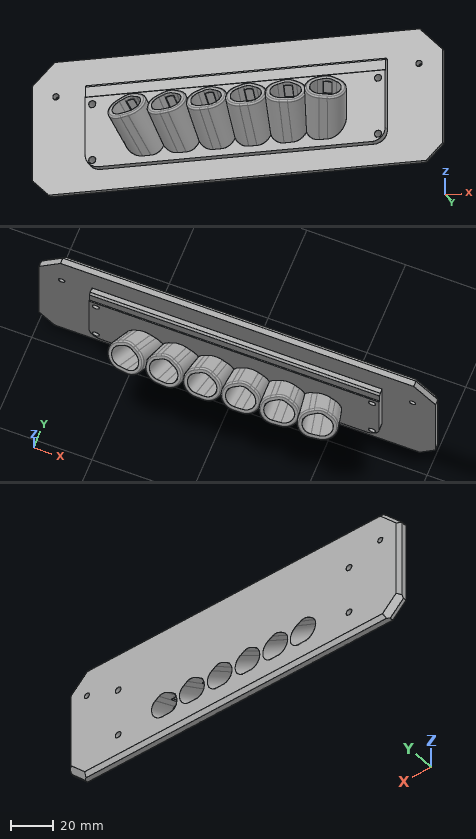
import cadquery as cq
import math

plate_length = 200.8
plate_height = 66.0
plate_thickness = 5.0
top_corner_cut = 11.0
bottom_corner_cut = 8.0
back_bevel = 2.0
bottom_corner_bevel = 3.0
plate_hole_diameter = 3.0
plate_hole_x = 88.7
plate_hole_z = -17.3

pad_length = 146.8
pad_height = 41.5
pad_top = -14.0
pad_thickness = 4.0
pad_corner_radius = 6.6
strip_height = 6.2
strip_setback = 0.6
strip_chamfer = 1.0
pad_hole_diameter = 3.5
pad_hole_x = 69.9
pad_hole_top = -24.0
pad_hole_bottom = -52.0

tube_count = 6
rim_pitch = 19.5
rim_reach = 16.3
rim_z = -32.1
tube_elevation = 33.5
fan_step = 5.0

base_half_width = 2.0
side_radius = 7.8
roof_slope = 28.0
crown_radius = 7.0
wall = 2.5
rim_round = 0.8

keyway_width = 4.2
keyway_rise = 0.5
keyway_start = 2.0
keyway_end = 9.0

half_length = plate_length / 2
tube_length = 40.2


def make_plate():
    plate = cq.Workplane("XZ").rect(plate_length, plate_height).extrude(-plate_thickness)
    plate = plate.translate((0, 0, -plate_height / 2))
    plate = plate.edges("|Y and >Z").chamfer(top_corner_cut)
    plate = plate.edges("|Y and <Z").chamfer(bottom_corner_cut)
    plate = plate.faces(">Y").edges().chamfer(back_bevel)
    return plate.cut(bottom_corner_wedge(1)).cut(bottom_corner_wedge(-1))


def bottom_corner_wedge(side):
    """Waste that bevels the back of one bottom corner; side is +1 or -1 along X."""
    corner_plane = cq.Plane(
        origin=(side * (half_length - bottom_corner_cut / 2), 0, -plate_height + bottom_corner_cut / 2),
        xDir=(side, 0, -1),
        normal=(1, 0, side),
    )
    back = plate_thickness * corner_plane.yDir.y
    rise = bottom_corner_bevel * corner_plane.yDir.y
    return (
        cq.Workplane(corner_plane)
        .polyline([(0, back - rise), (0, back), (-bottom_corner_bevel, back)]).close()
        .extrude(2 * bottom_corner_cut, both=True)
    )


def make_pad():
    pad = cq.Workplane("XZ").rect(pad_length, pad_height).extrude(pad_thickness)
    pad = pad.translate((0, 0, pad_top - pad_height / 2))
    pad = pad.edges("|Y and <Z").fillet(pad_corner_radius)
    setback = (
        cq.Workplane("XY")
        .box(pad_length, strip_setback, strip_height, centered=(True, False, False))
        .translate((0, -pad_thickness, pad_top - strip_height))
    )
    return pad.cut(setback).faces(">Z").edges("<Y").chamfer(strip_chamfer)


def tube_plane(index):
    """Plane on the rim of one tube: normal out along the tube, first axis level, second axis up."""
    place = index - (tube_count - 1) / 2
    fan = math.radians(place * fan_step)
    rim_centre = (place * rim_pitch, -pad_thickness - rim_reach, rim_z)
    elevation = math.radians(tube_elevation)
    outward = cq.Vector(0, -math.cos(elevation), math.sin(elevation))
    level = cq.Vector(1, 0, 0)
    axis = outward * math.cos(fan) + level * math.sin(fan)
    across = level * math.cos(fan) - outward * math.sin(fan)
    return cq.Plane(origin=rim_centre, xDir=across, normal=axis)


def crown_centre_height():
    """Height of the crown arc's centre above the side arcs' centres, set by the tangent roof flats."""
    slope = math.radians(roof_slope)
    return (base_half_width * math.sin(slope) + side_radius - crown_radius) / math.cos(slope)


def tube_section(plane, inset):
    """Tube outline moved inwards by inset; the side arcs are centred level with the plane's origin."""
    slope = math.radians(roof_slope)
    side = side_radius - inset
    crown = crown_radius - inset
    crown_centre = crown_centre_height()
    widest = base_half_width + side
    eave_x = base_half_width + side * math.sin(slope)
    eave_y = side * math.cos(slope)
    crown_x = crown * math.sin(slope)
    crown_y = crown_centre + crown * math.cos(slope)
    return (
        cq.Workplane(plane)
        .moveTo(-base_half_width, -side)
        .lineTo(base_half_width, -side)
        .threePointArc((widest, 0), (eave_x, eave_y))
        .lineTo(crown_x, crown_y)
        .threePointArc((0, crown_centre + crown), (-crown_x, crown_y))
        .lineTo(-eave_x, eave_y)
        .threePointArc((-widest, 0), (-base_half_width, -side))
        .close()
    )


def make_tube(plane):
    """Solid tube that stops at the front face of the pad."""
    tube = tube_section(plane, 0).extrude(-tube_length)
    rim = cq.selectors.DirectionMinMaxSelector(plane.zDir, True)
    tube = tube.faces(rim).edges().fillet(rim_round)
    behind_pad = (
        cq.Workplane("XZ", origin=(0, -pad_thickness, 0))
        .rect(2 * plate_length, 4 * plate_height)
        .extrude(-tube_length)
    )
    return tube.cut(behind_pad)


def make_bore(plane):
    bore = tube_section(plane, wall).extrude(-tube_length)
    roof = crown_centre_height() + crown_radius - wall + keyway_rise
    keyway = (
        cq.Workplane(plane)
        .workplane(offset=-keyway_start)
        .center(0, roof / 2)
        .rect(keyway_width, roof)
        .extrude(keyway_start - keyway_end)
    )
    return bore.union(keyway)


def drill(body, diameter, points):
    """Cut round holes along Y through the whole body."""
    reach = plate_thickness + pad_thickness
    holes = cq.Workplane("XZ").pushPoints(points).circle(diameter / 2).extrude(reach, both=True)
    return body.cut(holes)


result = make_plate().union(make_pad())

rim_planes = [tube_plane(index) for index in range(tube_count)]
for rim_plane in rim_planes:
    result = result.union(make_tube(rim_plane))
for rim_plane in rim_planes:
    result = result.cut(make_bore(rim_plane))

result = drill(result, plate_hole_diameter, [(x, plate_hole_z) for x in (-plate_hole_x, plate_hole_x)])
pad_holes = [(x, z) for x in (-pad_hole_x, pad_hole_x) for z in (pad_hole_top, pad_hole_bottom)]
result = drill(result, pad_hole_diameter, pad_holes)